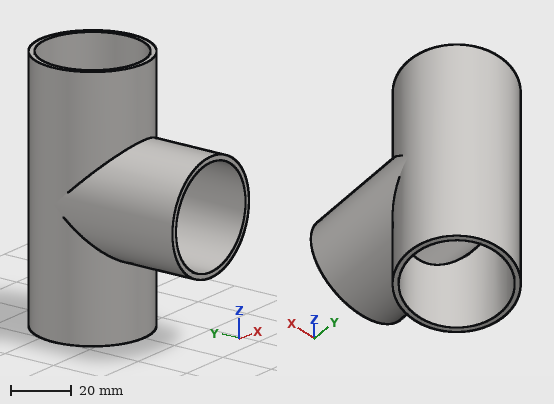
import cadquery as cq

run_length = 96.0
outer_diameter = 42.4
wall_thickness = 2.0
overall_depth = 70.0

outer_radius = outer_diameter / 2
bore_radius = outer_radius - wall_thickness
branch_length = overall_depth - outer_radius


def tee_solid(radius):
    """Union of the run and branch cylinders, with axes meeting at the origin."""
    run = cq.Workplane("XY").circle(radius).extrude(run_length / 2, both=True)
    branch = cq.Workplane("XZ").circle(radius).extrude(branch_length)
    return run.union(branch)


result = tee_solid(outer_radius).cut(tee_solid(bore_radius))